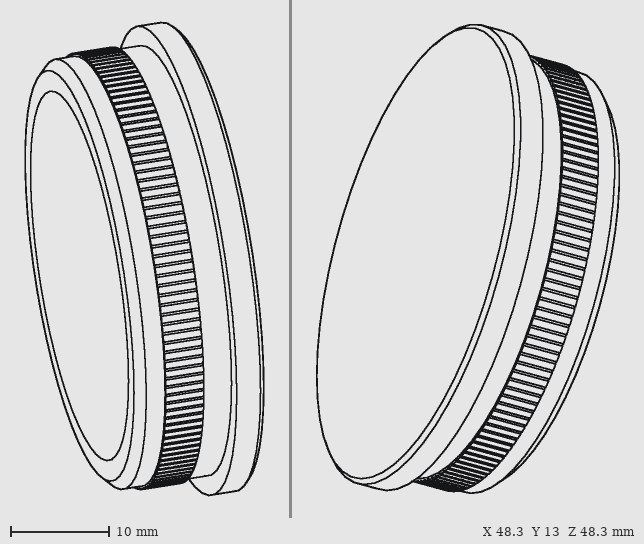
import cadquery as cq
import math

cap_length = 13.0

flange_diameter = 48.3
flange_thickness = 3.0
flange_chamfer = 0.5

plug_diameter = 44.3
plug_chamfer = 1.0

bore_diameter = 38.0
end_wall_thickness = 3.0

knurl_height = 0.305
knurl_width = 4.0
knurl_to_flange = 3.0
groove_count = 140
groove_radius = 0.125

rear_y = cap_length / 2
front_y = -rear_y
flange_face_y = rear_y - flange_thickness
knurl_rear_y = flange_face_y - knurl_to_flange


def disc(diameter, start_y, length):
    """Cylinder on the Y axis running from start_y towards -Y."""
    return cq.Workplane("XZ", origin=(0, start_y, 0)).circle(diameter / 2).extrude(length)


def make_flange():
    return disc(flange_diameter, rear_y, flange_thickness).faces(">Y").chamfer(flange_chamfer)


def make_plug():
    plug_length = cap_length - flange_thickness
    return disc(plug_diameter, flange_face_y, plug_length).faces("<Y").chamfer(plug_chamfer)


def make_knurl():
    """Raised band with straight round-bottomed grooves, centred on its rim."""
    radius = plug_diameter / 2 + knurl_height
    pitch_angle = 2 * math.pi / groove_count
    half_groove_angle = math.asin(groove_radius / radius)

    def rim_point(angle, depth=0.0):
        return ((radius - depth) * math.cos(angle), (radius - depth) * math.sin(angle))

    outline = cq.Workplane("XZ", origin=(0, knurl_rear_y, 0)).moveTo(*rim_point(-half_groove_angle))
    for index in range(groove_count):
        groove_angle = index * pitch_angle
        land_start = groove_angle + half_groove_angle
        land_middle = groove_angle + pitch_angle / 2
        land_end = groove_angle + pitch_angle - half_groove_angle
        outline = outline.threePointArc(rim_point(groove_angle, groove_radius), rim_point(land_start))
        outline = outline.threePointArc(rim_point(land_middle), rim_point(land_end))
    return outline.close().extrude(knurl_width)


def make_bore():
    floor_y = rear_y - end_wall_thickness
    return disc(bore_diameter, floor_y, floor_y - front_y)


result = make_flange().union(make_plug()).union(make_knurl()).cut(make_bore())